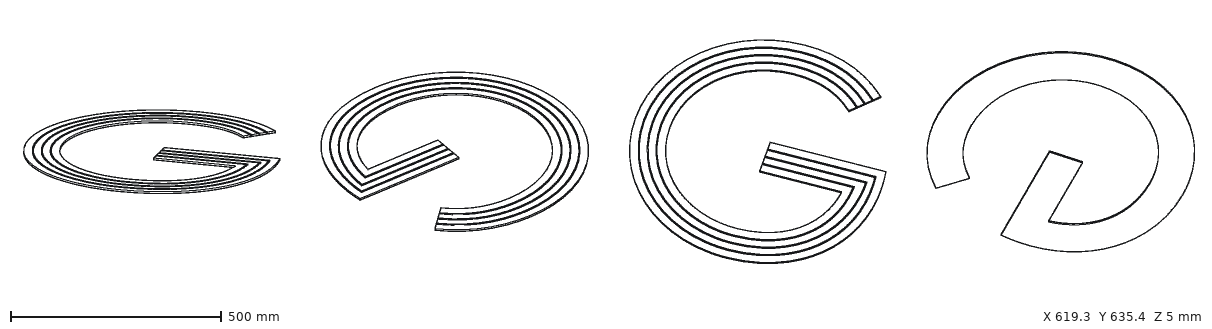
import cadquery as cq
import math

thickness = 5.0
band_width = 86.0
groove_count = 3
groove_width = 2.5
groove_depth = 2.0
groove_pitch = 21.3
middle_flare = 5.0

overall_height = 635.44
mid_rise = (overall_height - band_width) / 2
mid_reach = 280.8
round_handle = 154.4

tip = (186.7, 199.3)
tip_normal = 45.0
tip_handle = 53.6
crown_handle = 91.0

rise_end = (246.55, 35.8)
rise_normal = 10.3
foot_handle = 171.2
rise_handle = 184.9

bar_left = 3.4
bar_mid = -15.4

bisection_steps = 60


def polar(length, degrees):
    """Vector of the given length and direction in the XY plane."""
    angle = math.radians(degrees)
    return cq.Vector(length * math.cos(angle), length * math.sin(angle))


def handle_growth(turn):
    """Bezier handle length per unit radius for an arc turning by `turn` degrees."""
    return 4 / 3 * math.tan(math.radians(turn) / 4)


def point_on(bezier, t):
    """Point of a cubic Bezier at parameter t."""
    weights = ((1 - t) ** 3, 3 * t * (1 - t) ** 2, 3 * t ** 2 * (1 - t), t ** 3)
    total = cq.Vector(0, 0)
    for weight, control in zip(weights, bezier):
        total = total + control * weight
    return total


def cut_at_height(bezier, height):
    """First part of a Bezier whose far end is brought down to the given height."""
    low = 0.0
    high = 1.0
    for _ in range(bisection_steps):
        t = (low + high) / 2
        if point_on(bezier, t).y < height:
            low = t
        else:
            high = t
    a, b, c, _ = bezier
    ab = a.multiply(1 - t) + b * t
    bc = b.multiply(1 - t) + c * t
    abc = ab.multiply(1 - t) + bc * t
    return [a, ab, abc, point_on(bezier, t)]


def bowl_curves(offset, flare):
    """Beziers beside the centreline, from the upper end to the crossbar corner.

    A positive offset lies outward; flare moves the end of the rise to the right.
    """
    tip_growth = offset * handle_growth(90 - tip_normal)
    quarter = round_handle + offset * handle_growth(90)
    rise_growth = offset * handle_growth(90 + rise_normal)

    start = cq.Vector(*tip) + polar(offset, tip_normal)
    top = cq.Vector(0, mid_rise + offset)
    left = cq.Vector(-mid_reach - offset, 0)
    bottom = cq.Vector(0, -mid_rise - offset)
    end = cq.Vector(*rise_end) + polar(offset, rise_normal)

    up = cq.Vector(0, 1)
    right = cq.Vector(1, 0)
    start_pull = start + polar(tip_handle + tip_growth, tip_normal + 90)
    end_pull = end + polar(rise_handle + rise_growth, rise_normal - 90)
    rise = [bottom, bottom + right * (foot_handle + rise_growth), end_pull, end + right * flare]
    return [
        [start, start_pull, top + right * (crown_handle + tip_growth), top],
        [top, top - right * quarter, left + up * quarter, left],
        [left, left - up * quarter, bottom - right * quarter, bottom],
        cut_at_height(rise, bar_mid + offset),
    ]


def band(centre, width, height, flare=0):
    """Solid strip of constant width following the G, standing on Z = 0."""
    outer = centre + width / 2
    inner = centre - width / 2
    outer_curves = bowl_curves(outer, flare)
    inner_curves = bowl_curves(inner, flare)

    edges = [cq.Edge.makeBezier(c) for c in outer_curves + inner_curves]
    corners = [
        outer_curves[-1][-1],
        cq.Vector(bar_left, bar_mid + outer),
        cq.Vector(bar_left, bar_mid + inner),
        inner_curves[-1][-1],
    ]
    edges += [cq.Edge.makeLine(a, b) for a, b in zip(corners, corners[1:])]
    edges.append(cq.Edge.makeLine(inner_curves[0][0], outer_curves[0][0]))
    outline = cq.Wire.assembleEdges(edges)
    return cq.Workplane(cq.Solid.extrudeLinear(outline, [], cq.Vector(0, 0, height)))


def groove(index):
    """One groove cutter, reaching from the groove floor to the top face."""
    middle_index = (groove_count - 1) / 2
    flare = middle_flare if index == middle_index else 0
    cutter = band((index - middle_index) * groove_pitch, groove_width, groove_depth, flare)
    return cutter.translate((0, 0, thickness - groove_depth))


result = band(0, band_width, thickness)
for index in range(groove_count):
    result = result.cut(groove(index))